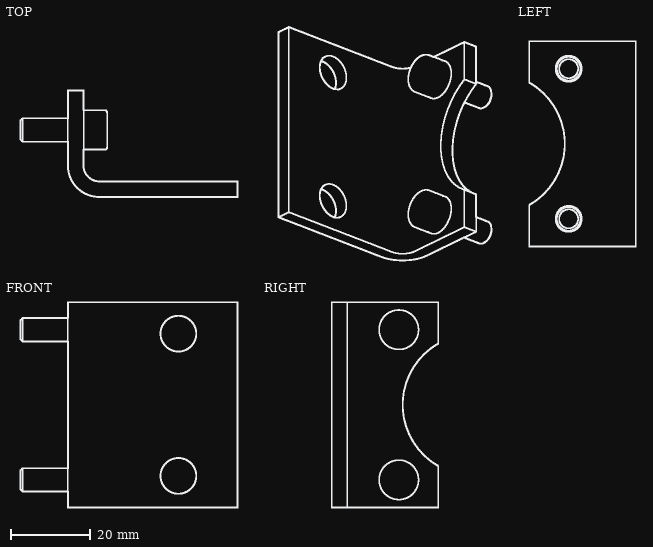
import cadquery as cq

thickness = 4.0
flange_x_length = 43.0
flange_y_length = 27.0
height = 52.0
inner_bend_radius = 4.0
outer_bend_radius = inner_bend_radius + thickness

mount_hole_diameter = 9.0
mount_hole_x = 28.0
mount_hole_spacing = 36.0

recess_depth = 9.0
recess_opening = 31.0
recess_radius = (recess_depth**2 + (recess_opening / 2) ** 2) / (2 * recess_depth)

screw_diameter = 6.0
screw_reach = 12.0
screw_tip_chamfer = 0.6
screw_hole_diameter = 6.6
head_diameter = 10.0
head_height = 6.0
head_edge_radius = 0.6
screw_y = 17.0
screw_spacing = 38.0


def spaced_heights(spacing):
    """Heights of a pair of features placed evenly about the middle of the plate."""
    return ((height - spacing) / 2, (height + spacing) / 2)


def bent_plate():
    outer = cq.Workplane("XY").box(flange_x_length, flange_y_length, height, centered=False)
    outer = outer.edges("|Z and <X and <Y").fillet(outer_bend_radius)
    inner = (
        cq.Workplane("XY")
        .box(flange_x_length, flange_y_length, height, centered=False)
        .edges("|Z and <X and <Y")
        .fillet(inner_bend_radius)
        .translate((thickness, thickness, 0))
    )
    return outer.cut(inner)


def cylinder_along_x(diameter, start_x, length, y, z):
    return cq.Workplane("YZ", origin=(start_x, y, z)).circle(diameter / 2).extrude(length)


def mount_hole(z):
    return (
        cq.Workplane("XZ", origin=(mount_hole_x, thickness, z))
        .circle(mount_hole_diameter / 2)
        .extrude(thickness)
    )


def edge_recess():
    center_y = flange_y_length - recess_depth + recess_radius
    return cylinder_along_x(2 * recess_radius, 0, thickness, center_y, height / 2)


def cap_screw(z):
    shank = cylinder_along_x(screw_diameter, -screw_reach, screw_reach + thickness, screw_y, z)
    shank = shank.faces("<X").chamfer(screw_tip_chamfer)
    head = cylinder_along_x(head_diameter, thickness, head_height, screw_y, z)
    head = head.faces(">X").edges().fillet(head_edge_radius)
    return shank.union(head)


result = bent_plate().cut(edge_recess())
for hole_z in spaced_heights(mount_hole_spacing):
    result = result.cut(mount_hole(hole_z))
for screw_z in spaced_heights(screw_spacing):
    result = result.cut(cylinder_along_x(screw_hole_diameter, 0, thickness, screw_y, screw_z))
    result = result.union(cap_screw(screw_z))